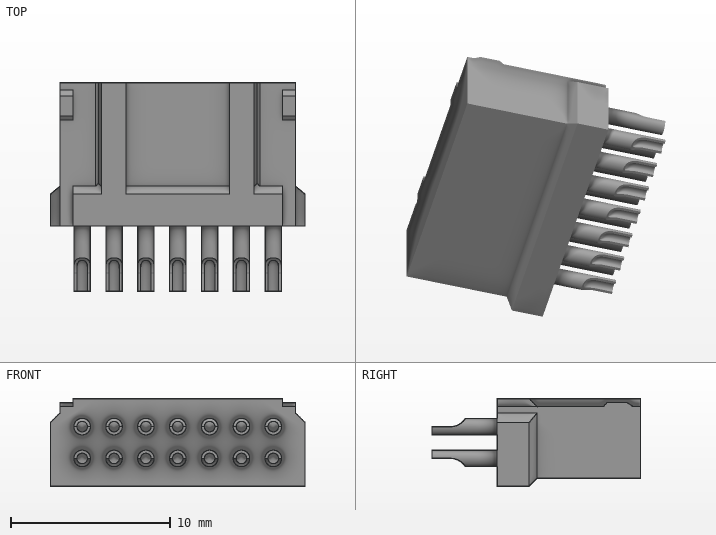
import cadquery as cq
import math

flange_width = 16.0
body_width = 14.8
overall_height = 5.5
housing_length = 9.0
step_height = 0.5
flange_length = 2.0
flange_front = flange_length + step_height
deck_height = overall_height - step_height
side_bevel = (flange_width - body_width) / 2
flange_bevel_top = 4.6
flange_side_top = flange_bevel_top - side_bevel

raised_half_width = 6.58
rib_outer = 4.8
rib_inner = 3.25
groove_width = 0.36
groove_depth = groove_width / 2

bump_height = 0.25
bump_start = 0.45
bump_lead_in = 0.4
bump_end = 2.35
bump_lead_out = 0.25

pin_columns = 7
pin_pitch = 2.0
pin_diameter = 1.04
pin_length = 4.1
cup_diameter = 0.66
cup_depth = 2.1
scoop_start = 2.0
scoop_radius = 1.1
row_heights = {
    +1: (overall_height + pin_pitch) / 2,
    -1: (overall_height - pin_pitch) / 2,
}


def box(x_min, x_max, y_min, y_max, z_min, z_max):
    """Axis-aligned block between the given limits."""
    return cq.Workplane("XY").box(
        x_max - x_min, y_max - y_min, z_max - z_min, centered=False
    ).translate((x_min, y_min, z_min))


def side_prism(points, x_min, x_max):
    """Extrude a (Y, Z) outline along X between two limits."""
    return cq.Workplane("YZ", origin=(x_min, 0, 0)).polyline(points).close().extrude(x_max - x_min)


def on_both_sides(shape):
    """The shape together with its mirror image across the YZ plane."""
    return shape.union(shape.mirror("YZ"))


def make_body():
    half_width = body_width / 2
    return box(-half_width, half_width, 0, housing_length, step_height, overall_height)


def make_flange():
    """Wide mounting end, bevelled at its shoulders and where it meets the body."""
    half_width = flange_width / 2
    half_body = body_width / 2
    outline = [
        (-half_width, 0),
        (half_width, 0),
        (half_width, flange_side_top),
        (half_body, flange_bevel_top),
        (-half_body, flange_bevel_top),
        (-half_width, flange_side_top),
    ]
    section = cq.Workplane("XZ").polyline(outline).close().extrude(-flange_front)

    plan = [
        (-half_width, 0),
        (half_width, 0),
        (half_width, flange_length),
        (half_body, flange_front),
        (-half_body, flange_front),
        (-half_width, flange_length),
    ]
    plan_limit = cq.Workplane("XY").polyline(plan).close().extrude(overall_height)

    profile = [
        (0, 0),
        (flange_length, 0),
        (flange_front, step_height),
        (flange_front, overall_height),
        (0, overall_height),
    ]
    profile_limit = side_prism(profile, -half_width, half_width)
    return section.intersect(plan_limit).intersect(profile_limit)


def make_recess(x_min, x_max):
    """Top recess, open at the far end and closed by a ramp at the flange."""
    profile = [
        (flange_length, overall_height),
        (flange_front, deck_height),
        (housing_length, deck_height),
        (housing_length, overall_height),
    ]
    return side_prism(profile, x_min, x_max)


def make_edge_ledge():
    """Step along the outer top edge, running the full housing length."""
    return box(raised_half_width, body_width / 2, 0, housing_length, deck_height, overall_height)


def make_rib_groove():
    """V groove at the foot of a rib, ending on the continued recess ramp."""
    section = [
        (rib_outer, deck_height),
        (rib_outer + groove_width / 2, deck_height - groove_depth),
        (rib_outer + groove_width, deck_height),
    ]
    groove = cq.Workplane("XZ").polyline(section).close().extrude(-housing_length)
    ramp_limit = [
        (flange_front, deck_height),
        (flange_front + groove_depth, deck_height - groove_depth),
        (housing_length, deck_height - groove_depth),
        (housing_length, deck_height),
    ]
    return groove.intersect(side_prism(ramp_limit, rib_outer, rib_outer + groove_width))


def make_latch_bump():
    bump_top = deck_height + bump_height
    profile = [
        (housing_length - bump_start, deck_height),
        (housing_length - bump_start - bump_lead_in, bump_top),
        (housing_length - bump_end + bump_lead_out, bump_top),
        (housing_length - bump_end, deck_height),
    ]
    return side_prism(profile, raised_half_width, body_width / 2)


def make_pin():
    """Solder-cup pin on the Y axis, pointing to -Y and scooped open on its +Z half."""
    radius = pin_diameter / 2
    rod = cq.Workplane("XZ").circle(radius).extrude(pin_length)
    cup = cq.Workplane("XZ", origin=(0, cup_depth - pin_length, 0)).circle(cup_diameter / 2).extrude(cup_depth)

    arc_run = math.sqrt(scoop_radius**2 - (scoop_radius - radius) ** 2)
    arc_end = scoop_start + arc_run
    half_angle = math.asin(arc_run / scoop_radius) / 2
    arc_middle = (
        -(arc_end - scoop_radius * math.sin(half_angle)),
        scoop_radius * (1 - math.cos(half_angle)),
    )
    scoop = (
        cq.Workplane("YZ", origin=(-radius, 0, 0))
        .moveTo(-scoop_start, radius)
        .threePointArc(arc_middle, (-arc_end, 0))
        .lineTo(-pin_length, 0)
        .lineTo(-pin_length, radius)
        .close()
        .extrude(pin_diameter)
    )
    return rod.cut(cup).cut(scoop)


def make_housing():
    housing = make_body().union(make_flange())
    housing = housing.cut(make_recess(-rib_inner, rib_inner))
    housing = housing.cut(on_both_sides(make_recess(rib_outer, body_width / 2)))
    housing = housing.cut(on_both_sides(make_edge_ledge()))
    housing = housing.cut(on_both_sides(make_rib_groove()))
    return housing.union(on_both_sides(make_latch_bump()))


def add_pins(housing):
    upward_pin = make_pin()
    pins_by_opening = {+1: upward_pin, -1: upward_pin.mirror("XY")}
    first_column = -pin_pitch * (pin_columns - 1) / 2
    for opening, height in row_heights.items():
        for column in range(pin_columns):
            x = first_column + column * pin_pitch
            housing = housing.union(pins_by_opening[opening].translate((x, 0, height)))
    return housing


result = add_pins(make_housing())